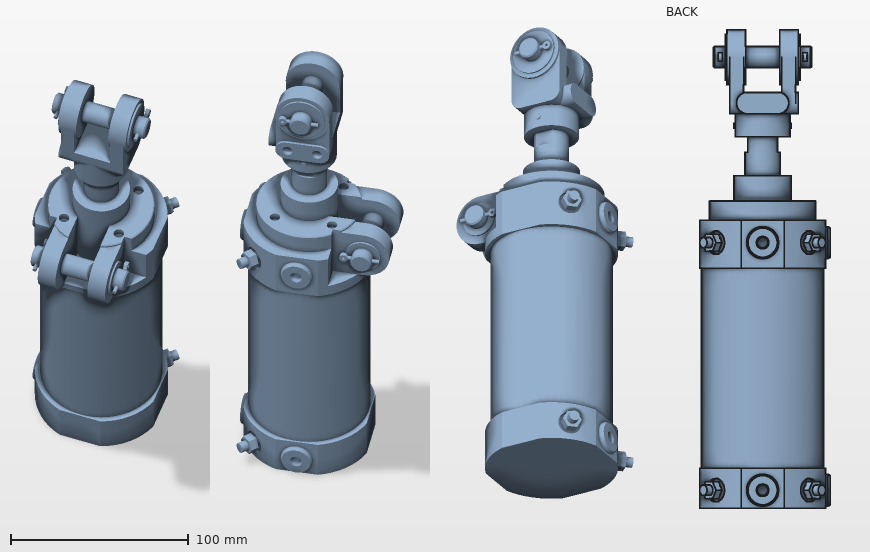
import cadquery as cq
import math

overall_height = 269.5

tube_diameter = 69.0
block_diameter = 75.0
block_across_flats = 71.0
cap_height = 22.6
head_bottom = 135.3
head_top = 162.2
spigot_diameter = 59.8
spigot_top = 173.3
spigot_chamfer = 0.5
collar_diameter = 32.3
collar_top = 187.3

screw_hole_diameter = 6.0
screw_hole_depth = 4.0
screw_count = 4
screw_start_angle = 45
screw_circle_radius = 23.2

port_heights = (10.2, 149.5)
port_boss_diameter = 18.0
port_boss_height = 2.7
port_boss_bevel_height = 1.3
port_boss_bevel_width = 0.8
port_hole_diameter = 6.0
port_mouth_diameter = 7.0
port_hole_depth = 8.0
drill_point_ratio = 0.6
port_angles = (90, 180)
valve_angles = (45, 135)
valve_seat_diameter = 13.2
valve_seat_radius = 35.5
valve_hex_across_corners = 11.0
valve_hex_turn = 30
valve_hex_start = 37.7
valve_hex_end = 42.5
valve_stem_diameter = 6.0
valve_stem_end = 47.2

ear_gap = 19.0
ear_span = 40.2
ear_washer_thickness = 1.0

lug_y = -35.0
lug_z = 156.8
lug_diameter = 30.0
lug_washer_diameter = 20.0
lug_wall_y = -17.5
slot_floor_z = 139.5

rod_diameter = 20.0
rod_across_flats = 17.0
rod_flats_bottom = 200.5
rod_thread_diameter = 16.0

clevis_bottom = 209.0
clevis_diameter = 31.0
clevis_block_bottom = 222.0
clevis_pin_z = overall_height - clevis_diameter / 2
clevis_arm_gap = 21.3
clevis_arm_span = 37.2
clevis_washer_diameter = 26.0
pad_height = 12.0
clevis_floor = clevis_block_bottom + pad_height
back_pad_width = 29.5
back_pad_y = 20.5
back_pad_root_y = 7.8
pad_hole_diameter = 4.9
pad_hole_mouth_diameter = 6.0
pad_hole_spacing = 17.0
pad_hole_depth = 4.0
lock_pin_diameter = 3.0
lock_pin_z = 215.3
lock_pin_length = 32.3

pin_diameter = 12.0
pin_length = 55.5
pin_chamfer = 0.8
split_pin_diameter = 2.3
split_pin_x = 23.85
split_pin_tail = 10.0
split_eye_diameter = 4.9
split_eye_hole_diameter = 1.5
split_eye_offset = 10.5

block_half = block_across_flats / 2
washers_span = ear_span + 2 * ear_washer_thickness
lug_bottom = lug_z - lug_diameter / 2
lug_top = lug_z + lug_diameter / 2
pad_z = clevis_block_bottom + pad_height / 2


def disc(diameter, bottom, top):
    """Upright cylinder on the Z axis."""
    return cq.Workplane("XY").workplane(offset=bottom).circle(diameter / 2).extrude(top - bottom)


def box(x_range, y_range, z_range):
    """Box between the given limits."""
    (x0, x1), (y0, y1), (z0, z1) = x_range, y_range, z_range
    return cq.Workplane("XY").box(x1 - x0, y1 - y0, z1 - z0, centered=False).translate((x0, y0, z0))


def cross_cylinder(diameter, length, y, z, x=0.0):
    """Cylinder along X, centred at the given point."""
    return cq.Workplane("YZ").circle(diameter / 2).extrude(length / 2, both=True).translate((x, y, z))


def radial_plane(angle, radius, z):
    """Plane facing away from the Z axis at the given angle, radius and height."""
    direction = (math.cos(math.radians(angle)), math.sin(math.radians(angle)), 0)
    origin = (radius * direction[0], radius * direction[1], z)
    return cq.Workplane(cq.Plane(origin=origin, xDir=(0, 0, 1), normal=direction))


def end_block(bottom, top):
    """Round block with a flat on each of its four sides."""
    flats = box((-block_half, block_half), (-block_half, block_half), (bottom, top))
    return disc(block_diameter, bottom, top).intersect(flats)


def revolved(points):
    """Solid of revolution about Z from (radius, height) points."""
    return cq.Workplane("XZ").polyline(points).close().revolve(360, (0, 0, 0), (0, 1, 0)).val()


def port_boss():
    """Round boss with a bevelled rim, standing on the XY plane."""
    radius = port_boss_diameter / 2
    bevel_start = port_boss_height - port_boss_bevel_height
    return revolved([
        (0, 0),
        (radius, 0),
        (radius, bevel_start),
        (radius - port_boss_bevel_width, port_boss_height),
        (0, port_boss_height),
    ])


def port_hole():
    """Countersunk hole with a drill-point bottom, entering from the top of the boss."""
    radius = port_hole_diameter / 2
    mouth_radius = port_mouth_diameter / 2
    bottom = port_boss_height - port_hole_depth
    return revolved([
        (0, bottom - radius * drill_point_ratio),
        (radius, bottom),
        (radius, port_boss_height - (mouth_radius - radius)),
        (mouth_radius, port_boss_height),
        (0, port_boss_height),
    ])


def add_ports(body):
    """Drilled port bosses on the -X and +Y flats of both end blocks."""
    for z in port_heights:
        for angle in port_angles:
            place = radial_plane(angle, block_half, z).plane.location
            body = body.union(port_boss().located(place)).cut(port_hole().located(place))
    return body


def add_valves(body):
    """Hexagonal speed valves seated in round recesses at the rear corners."""
    for z in port_heights:
        for angle in valve_angles:
            seat = radial_plane(angle, valve_seat_radius, z)
            recess = seat.circle(valve_seat_diameter / 2).extrude(block_diameter / 2 - valve_seat_radius)
            nut_base = radial_plane(angle, valve_hex_start, z).transformed(rotate=(0, 0, valve_hex_turn))
            hexagon = nut_base.polygon(6, valve_hex_across_corners).extrude(valve_hex_end - valve_hex_start)
            stem = seat.circle(valve_stem_diameter / 2).extrude(valve_stem_end - valve_seat_radius)
            body = body.cut(recess).union(hexagon).union(stem)
    return body


def head():
    """Head and spigot with two lugs at the front and a slot between them."""
    spigot = disc(spigot_diameter, head_top, spigot_top).faces(">Z").chamfer(spigot_chamfer)
    blank = end_block(head_bottom, head_top).union(spigot)
    front_y = (-block_diameter, lug_wall_y)
    blank = blank.cut(box((-block_half, block_half), front_y, (lug_bottom, head_top)))
    for side in (-1, 1):
        relief_x = sorted((side * ear_span / 2, side * block_half))
        blank = blank.cut(box(relief_x, front_y, (head_top, spigot_top)))

    lug_x = (-ear_span / 2, ear_span / 2)
    lugs = box(lug_x, (lug_y, lug_wall_y), (lug_bottom, lug_top))
    lugs = lugs.union(cross_cylinder(lug_diameter, ear_span, lug_y, lug_z))
    lugs = lugs.union(cross_cylinder(lug_washer_diameter, washers_span, lug_y, lug_z))

    slot = box((-ear_gap / 2, ear_gap / 2), (-block_diameter, 0), (slot_floor_z, spigot_top))
    pin_hole = cross_cylinder(pin_diameter, pin_length, lug_y, lug_z)
    return blank.union(lugs).cut(slot).cut(pin_hole)


def screw_holes():
    """Four blind holes in the top of the spigot."""
    top = cq.Workplane("XY").workplane(offset=spigot_top)
    centres = top.polarArray(screw_circle_radius, screw_start_angle, 360, screw_count)
    return centres.circle(screw_hole_diameter / 2).extrude(-screw_hole_depth)


def piston_rod():
    """Rod with wrench flats and a threaded end that fills the clevis bore."""
    rod = disc(rod_diameter, collar_top, clevis_bottom)
    for side in (-1, 1):
        flat_x = sorted((side * rod_across_flats / 2, side * rod_diameter))
        rod = rod.cut(box(flat_x, (-rod_diameter, rod_diameter), (rod_flats_bottom, clevis_bottom)))
    return rod.union(disc(rod_thread_diameter, clevis_bottom, clevis_floor))


def make_cylinder():
    """Cap, tube, head, collar, fittings and rod as one solid."""
    body = end_block(0, cap_height).union(disc(tube_diameter, cap_height, head_bottom))
    body = body.union(head()).cut(screw_holes())
    body = body.union(disc(collar_diameter, slot_floor_z, collar_top))
    body = add_valves(add_ports(body))
    return body.union(piston_rod())


def clevis_body():
    """Fork: a block with rounded lower edges, two arms and thick round eyes."""
    half_depth = clevis_diameter / 2
    arm_x = (-clevis_arm_span / 2, clevis_arm_span / 2)
    block = box(arm_x, (-half_depth, half_depth), (clevis_block_bottom, clevis_pin_z))
    block = block.edges("|X and <Z").fillet(pad_height / 2)
    eyes = cross_cylinder(clevis_diameter, ear_span, 0, clevis_pin_z)
    eyes = eyes.union(cross_cylinder(clevis_washer_diameter, washers_span, 0, clevis_pin_z))
    arm_gap_x = (-clevis_arm_gap / 2, clevis_arm_gap / 2)
    eye_gap_x = (-ear_gap / 2, ear_gap / 2)
    gap_y = (-half_depth, half_depth)
    block = block.cut(box(arm_gap_x, gap_y, (clevis_floor, overall_height)))
    eyes = eyes.cut(box(eye_gap_x, gap_y, (clevis_floor, overall_height)))
    neck = disc(clevis_diameter, clevis_bottom, clevis_floor)
    return block.union(eyes).union(neck)


def side_pad():
    """Rounded pad on the -X face."""
    face = cq.Workplane("YZ").workplane(offset=-ear_span / 2).center(0, pad_z)
    return face.slot2D(clevis_diameter, pad_height).extrude((ear_span - clevis_arm_span) / 2)


def side_pad_holes():
    """Two countersunk blind holes that enter the pad from the -X side."""
    face = cq.Workplane("YZ").workplane(offset=-ear_span / 2).center(0, pad_z)
    holes = face.rarray(pad_hole_spacing, 2.7, 2, 1).circle(pad_hole_diameter / 2).extrude(pad_hole_depth)
    countersink_depth = (pad_hole_mouth_diameter - pad_hole_diameter) / 2
    mouths = face.rarray(pad_hole_spacing, 2.7, 2, 1).circle(pad_hole_mouth_diameter / 2)
    return holes.union(mouths.extrude(countersink_depth, taper=45))


def back_pad():
    """Rounded pad that stands out from the +Y face, level with the fork floor."""
    face = cq.Workplane("XZ").workplane(offset=-back_pad_y).center(0, pad_z)
    return face.slot2D(back_pad_width, pad_height).extrude(back_pad_y - back_pad_root_y)


def make_clevis():
    """Fork with its pads and lock pin ends, bored for the rod thread and the fork pin."""
    clevis = clevis_body().union(side_pad()).union(back_pad()).cut(side_pad_holes())
    clevis = clevis.union(cross_cylinder(lock_pin_diameter, lock_pin_length, 0, lock_pin_z))
    pin_hole = cross_cylinder(pin_diameter, pin_length, 0, clevis_pin_z)
    thread_bore = disc(rod_thread_diameter, clevis_bottom, clevis_floor)
    return clevis.cut(pin_hole).cut(thread_bore)


def make_split_pin(x, y, z):
    """Wire through the fork pin along Y, with a ring eye at its +Y end."""
    wire_length = split_pin_tail + split_eye_offset
    wire = cq.Workplane("XZ").circle(split_pin_diameter / 2).extrude(-wire_length)
    wire = wire.translate((x, y - split_pin_tail, z))
    eye_y = y + split_eye_offset
    eye = cross_cylinder(split_eye_diameter, split_pin_diameter, eye_y, z, x)
    eye_hole = cross_cylinder(split_eye_hole_diameter, split_pin_diameter, eye_y, z, x)
    return wire.union(eye).cut(eye_hole)


def make_fork_pin(y, z):
    """Chamfered pin along X with a cross hole for a split pin at each end."""
    pin = cross_cylinder(pin_diameter, pin_length, y, z).faces("<X or >X").chamfer(pin_chamfer)
    for x in (-split_pin_x, split_pin_x):
        pin = pin.cut(make_split_pin(x, y, z))
    return pin


cylinder = make_cylinder()
clevis = make_clevis()
fork_pins = []
split_pins = []
for pin_y, pin_z in ((lug_y, lug_z), (0, clevis_pin_z)):
    fork_pins.append(make_fork_pin(pin_y, pin_z).val())
    for pin_x in (-split_pin_x, split_pin_x):
        split_pins.append(make_split_pin(pin_x, pin_y, pin_z).val())

result = cq.Compound.makeCompound([cylinder.val(), clevis.val(), *fork_pins, *split_pins])